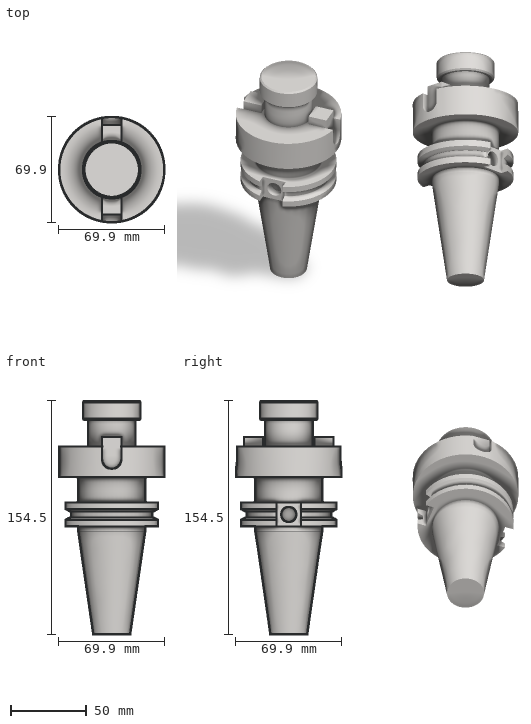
import cadquery as cq
import math

total_height = 154.53

taper_large_diameter = 44.45
taper_length = 68.25
taper_ratio = 7 / 24
taper_small_diameter = taper_large_diameter - taper_length * taper_ratio

gripper_diameter = 63.5
gripper_thickness = 15.875
gripper_offset = 3.175
gripper_bottom_z = taper_length + gripper_offset
gripper_mid_z = gripper_bottom_z + gripper_thickness / 2
gripper_top_z = gripper_bottom_z + gripper_thickness
groove_diameter = 56.36
groove_floor_width = 3.8
groove_ledge = 0.4
groove_flank_angle = 30
flank_depth = (gripper_diameter - groove_diameter) / 2 - groove_ledge
groove_mouth_width = groove_floor_width + 2 * flank_depth * math.tan(math.radians(groove_flank_angle))

drive_slot_width = 16.3
drive_slot_floor_x = 25.0
drive_hole_diameter = 10.0
drive_hole_depth = 6.0

head_diameter = 38.1
head_height = 12.7
head_chamfer = 1.0
head_bottom_z = total_height - head_height

pilot_diameter = 31.75
pilot_length = 17.46
face_diameter = 69.85
face_thickness = 20.24
face_top_z = head_bottom_z - pilot_length
face_bottom_z = face_top_z - face_thickness

neck_diameter = taper_large_diameter
neck_fillet = 1.0

key_width = 12.7
key_length = 12.7
key_inner_y = 16.95
key_projection = 6.26
key_depth = 14.79
key_top_z = face_top_z + key_projection
key_bottom_z = face_top_z - key_depth


def make_blank():
    """Revolve the taper, gripper flange, neck, face flange and pilot about Z."""
    gripper_radius = gripper_diameter / 2
    groove_radius = groove_diameter / 2
    neck_radius = neck_diameter / 2
    face_radius = face_diameter / 2
    pilot_radius = pilot_diameter / 2
    arc_offset = neck_fillet * (1 - math.sqrt(0.5))
    return (
        cq.Workplane("XZ")
        .lineTo(taper_small_diameter / 2, 0)
        .lineTo(taper_large_diameter / 2, taper_length)
        .lineTo(taper_large_diameter / 2, gripper_bottom_z)
        .lineTo(gripper_radius, gripper_bottom_z)
        .lineTo(gripper_radius, gripper_mid_z - groove_mouth_width / 2)
        .lineTo(groove_radius + groove_ledge, gripper_mid_z - groove_floor_width / 2)
        .lineTo(groove_radius, gripper_mid_z - groove_floor_width / 2)
        .lineTo(groove_radius, gripper_mid_z + groove_floor_width / 2)
        .lineTo(groove_radius + groove_ledge, gripper_mid_z + groove_floor_width / 2)
        .lineTo(gripper_radius, gripper_mid_z + groove_mouth_width / 2)
        .lineTo(gripper_radius, gripper_top_z)
        .lineTo(neck_radius + neck_fillet, gripper_top_z)
        .threePointArc(
            (neck_radius + arc_offset, gripper_top_z + arc_offset),
            (neck_radius, gripper_top_z + neck_fillet),
        )
        .lineTo(neck_radius, face_bottom_z - neck_fillet)
        .threePointArc(
            (neck_radius + arc_offset, face_bottom_z - arc_offset),
            (neck_radius + neck_fillet, face_bottom_z),
        )
        .lineTo(face_radius, face_bottom_z)
        .lineTo(face_radius, face_top_z)
        .lineTo(pilot_radius, face_top_z)
        .lineTo(pilot_radius, head_bottom_z)
        .lineTo(0, head_bottom_z)
        .close()
        .revolve(360, (0, 0, 0), (0, 1, 0))
    )


def make_drive_slot_cutter(side):
    """Drive slot and the blind hole in its floor, on the +X (1) or -X (-1) side."""
    slot_depth = gripper_diameter / 2 - drive_slot_floor_x
    floor_plane = cq.Plane(
        origin=(side * drive_slot_floor_x, 0, gripper_mid_z), xDir=(0, 1, 0), normal=(side, 0, 0)
    )
    slot = cq.Workplane(floor_plane).rect(drive_slot_width, gripper_thickness).extrude(slot_depth)
    hole = cq.Workplane(floor_plane).circle(drive_hole_diameter / 2).extrude(-drive_hole_depth)
    return slot.union(hole)


def make_key_shape(side, top_z, outer_y):
    """Round-bottomed bar from the key's inner face to outer_y, on the +Y (1) or -Y (-1) side."""
    half_width = key_width / 2
    arc_z = key_bottom_z + half_width
    profile = (
        cq.Workplane("XZ", origin=(0, side * key_inner_y, 0))
        .moveTo(-half_width, top_z)
        .lineTo(-half_width, arc_z)
        .threePointArc((0, key_bottom_z), (half_width, arc_z))
        .lineTo(half_width, top_z)
        .close()
    )
    return profile.extrude(-side * (outer_y - key_inner_y))


def make_holder():
    """Taper holder with its drive slots and key slots."""
    holder = make_blank()
    for side in (-1, 1):
        holder = holder.cut(make_drive_slot_cutter(side))
        holder = holder.cut(make_key_shape(side, face_top_z, face_diameter / 2))
    return holder


def make_key(side):
    """Drive key seated in its slot and standing above the face flange."""
    return make_key_shape(side, key_top_z, key_inner_y + key_length)


def make_screw_head():
    """Chamfered round head of the locking screw."""
    return (
        cq.Workplane("XY", origin=(0, 0, head_bottom_z))
        .circle(head_diameter / 2)
        .extrude(head_height)
        .faces("<Z or >Z")
        .edges()
        .chamfer(head_chamfer)
    )


holder = make_holder()
keys = [make_key(side) for side in (-1, 1)]
screw_head = make_screw_head()

result = cq.Compound.makeCompound([holder.val(), *[key.val() for key in keys], screw_head.val()])